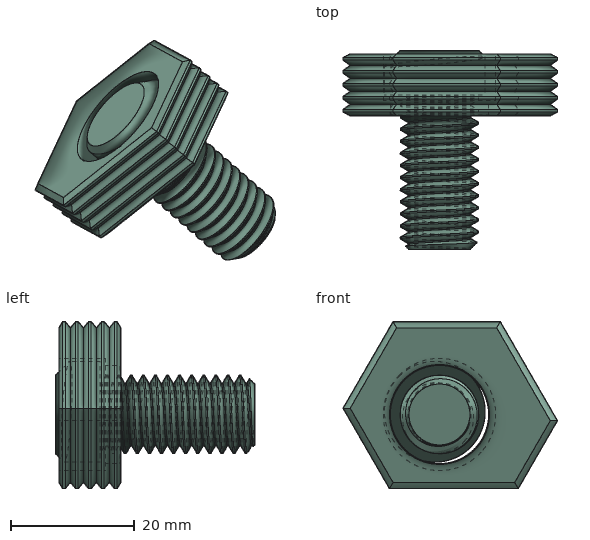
import cadquery as cq
import math


WASHER_THICKNESS = 10.0
NEAREST_FLAT = 12.0
FLAT_STEP = 1.0
FLAT_COUNT = 6
FIRST_FLAT_ANGLE = -90
RIDGE_COUNT = 5
CREST_SPAN = 8.4
RIDGE_PITCH = CREST_SPAN / (RIDGE_COUNT - 1)
RIDGE_CREST = 0.4
RIDGE_HEIGHT = 1.0
MOUTH_RADIUS = 7.93
MOUTH_CHAMFER = 0.15
MOUTH_DEPTH = 2.5
BORE_CLEARANCE = 0.07

SCREW_LENGTH = 32.15
HEAD_STANDOUT = 0.52
HEAD_RADIUS = 8.15
HEAD_OFFSET = 0.85
HEAD_ANGLE = 150
HEAD_FACE_Y = 3.35
HEAD_TIP_RADIUS = 6.37
THREAD_RADIUS = 6.35
PITCH_TURNS = 10
TURNS_ADVANCE = 19.55
THREAD_PITCH = TURNS_ADVANCE / PITCH_TURNS
THREAD_DEPTH = 1.25
THREAD_CREST = 0.25
FIRST_CREST_Y = -1.18
SCREW_TIP_RADIUS = 4.92
BEVEL_OVERCUT = 0.35

HEAD_BACK_Y = WASHER_THICKNESS + HEAD_STANDOUT
SCREW_TIP_Y = HEAD_BACK_Y - SCREW_LENGTH
HEAD_REACH = HEAD_RADIUS + HEAD_OFFSET
BORE_RADIUS = HEAD_REACH + BORE_CLEARANCE


def disc(radius, y_front, y_back, center=(0, 0)):
    """Cylinder along Y between two Y positions."""
    plane = cq.Workplane("XZ", origin=(0, y_front, 0))
    return plane.center(*center).circle(radius).extrude(y_front - y_back)


def revolve_about_y(points):
    """Solid of revolution from (radius, Y) points."""
    return cq.Workplane("XY").polyline(points).close().revolve(360, (0, 0), (0, 1))


def hexagon_corners(inset):
    """Corners where neighbouring flats meet, with every flat moved inward by the inset."""
    turn = 2 * math.pi / FLAT_COUNT
    corners = []
    for i in range(FLAT_COUNT):
        angle = math.radians(FIRST_FLAT_ANGLE) - i * turn
        distance = NEAREST_FLAT + i * FLAT_STEP - inset
        next_distance = NEAREST_FLAT + (i + 1) % FLAT_COUNT * FLAT_STEP - inset
        along = (distance * math.cos(turn) - next_distance) / math.sin(turn)
        x = distance * math.cos(angle) - along * math.sin(angle)
        z = distance * math.sin(angle) + along * math.cos(angle)
        corners.append((x, z))
    return corners


def hexagon_layer(y_front, y_back, inset_front, inset_back):
    """Slice of the washer whose sides run straight from one inset to another."""
    front = cq.Workplane("XZ", origin=(0, y_front, 0)).polyline(hexagon_corners(inset_front)).close()
    back = front.workplane(offset=y_front - y_back).polyline(hexagon_corners(inset_back)).close()
    return back.loft(ruled=True)


def make_washer():
    ridges_width = CREST_SPAN + RIDGE_CREST
    first_crest_y = (WASHER_THICKNESS - ridges_width) / 2
    half_groove = (RIDGE_PITCH - RIDGE_CREST) / 2
    washer = None
    for i in range(RIDGE_COUNT):
        crest_front = first_crest_y + i * RIDGE_PITCH
        crest_back = crest_front + RIDGE_CREST
        ridge_front = max(crest_front - half_groove, 0)
        ridge_back = min(crest_back + half_groove, WASHER_THICKNESS)
        ridge = (
            hexagon_layer(ridge_front, crest_front, RIDGE_HEIGHT, 0)
            .union(hexagon_layer(crest_front, crest_back, 0, 0))
            .union(hexagon_layer(crest_back, ridge_back, 0, RIDGE_HEIGHT))
        )
        washer = ridge if washer is None else washer.union(ridge)
    opening = revolve_about_y([
        (0, 0),
        (MOUTH_RADIUS + MOUTH_CHAMFER, 0),
        (MOUTH_RADIUS, MOUTH_CHAMFER),
        (MOUTH_RADIUS, MOUTH_DEPTH),
        (BORE_RADIUS, MOUTH_DEPTH),
        (BORE_RADIUS, WASHER_THICKNESS),
        (0, WASHER_THICKNESS),
    ])
    return washer.cut(opening)


def threaded_rod():
    """Rod with a helical V groove, running past both ends of the shank."""
    flank_slope = (THREAD_PITCH - 2 * THREAD_CREST) / 2 / THREAD_DEPTH
    half_root = THREAD_CREST / 2
    root_radius = THREAD_RADIUS - THREAD_DEPTH
    mouth_radius = THREAD_RADIUS + THREAD_CREST / 4
    half_mouth = half_root + (mouth_radius - root_radius) * flank_slope
    groove_y = FIRST_CREST_Y - THREAD_PITCH / 2
    turns_before = math.ceil((groove_y - SCREW_TIP_Y) / THREAD_PITCH) + 1
    turns_after = math.ceil((HEAD_FACE_Y - groove_y) / THREAD_PITCH) + 1
    start_y = groove_y - turns_before * THREAD_PITCH
    groove_length = (turns_before + turns_after) * THREAD_PITCH
    helix = cq.Wire.makeHelix(THREAD_PITCH, groove_length, root_radius)
    groove = (
        cq.Workplane("XZ")
        .polyline([
            (root_radius, -half_root),
            (mouth_radius, -half_mouth),
            (mouth_radius, half_mouth),
            (root_radius, half_root),
        ])
        .close()
        .sweep(cq.Workplane(helix), isFrenet=True)
        .rotate((0, 0, 0), (1, 0, 0), -90)
        .translate((0, start_y, 0))
    )
    rod = disc(THREAD_RADIUS, start_y - THREAD_PITCH, start_y + groove_length + THREAD_PITCH)
    return rod.cut(groove)


def make_shank():
    """Stretch of rod from tip to head, with the tip bevelled at 45 degrees."""
    body = threaded_rod().intersect(disc(2 * THREAD_RADIUS, SCREW_TIP_Y, HEAD_FACE_Y))
    bevel_radius = THREAD_RADIUS + BEVEL_OVERCUT
    bevel = revolve_about_y([
        (SCREW_TIP_RADIUS - BEVEL_OVERCUT, SCREW_TIP_Y - BEVEL_OVERCUT),
        (bevel_radius, SCREW_TIP_Y + bevel_radius - SCREW_TIP_RADIUS),
        (bevel_radius, SCREW_TIP_Y - BEVEL_OVERCUT),
    ])
    return body.cut(bevel)


def make_head():
    """Eccentric cylinder whose back edge is bevelled at 45 degrees around the screw axis."""
    angle = math.radians(HEAD_ANGLE)
    center = (HEAD_OFFSET * math.cos(angle), HEAD_OFFSET * math.sin(angle))
    cylinder = disc(HEAD_RADIUS, HEAD_FACE_Y, HEAD_BACK_Y, center)
    envelope = revolve_about_y([
        (0, HEAD_FACE_Y),
        (BORE_RADIUS, HEAD_FACE_Y),
        (BORE_RADIUS, HEAD_BACK_Y - (BORE_RADIUS - HEAD_TIP_RADIUS)),
        (HEAD_TIP_RADIUS, HEAD_BACK_Y),
        (0, HEAD_BACK_Y),
    ])
    return cylinder.intersect(envelope)


def make_screw():
    return make_shank().union(make_head())


washer = make_washer()
screw = make_screw()
result = cq.Compound.makeCompound([washer.solids().val(), screw.solids().val()])